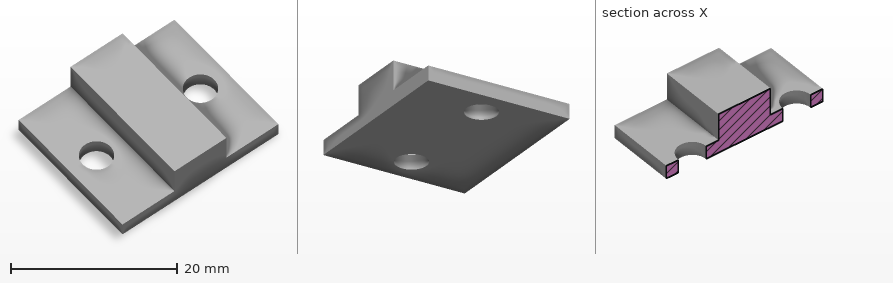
import cadquery as cq

length = 20.0
width = 24.0
height = 6.0

plate_thickness = 2.0
rib_width = 8.0

hole_diameter = 4.25
flange_width = (width - rib_width) / 2
hole_offset = (rib_width + flange_width) / 2


def make_plate():
    return cq.Workplane("XY").box(length, width, plate_thickness, centered=(True, True, False))


def make_rib():
    return cq.Workplane("XY").box(length, rib_width, height, centered=(True, True, False))


def make_holes():
    return (
        cq.Workplane("XY")
        .pushPoints([(0, -hole_offset), (0, hole_offset)])
        .circle(hole_diameter / 2)
        .extrude(plate_thickness)
    )


result = make_plate().union(make_rib()).cut(make_holes())